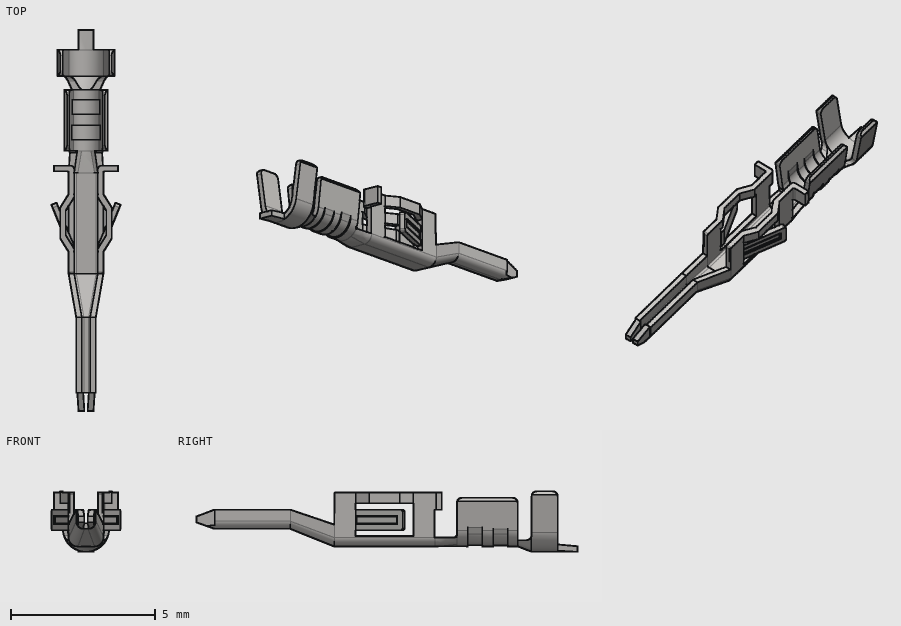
import cadquery as cq
import math

LENGTH = 13.2
STRIP = 0.2
INNER_BEND = 0.07
FLOOR = 0.18

BARREL_BACK = 12.51
BARREL_FRONT = 11.6
WIRE_BACK = 11.13
WIRE_FRONT = 9.02
BOX_BACK = 8.25
BOX_FRONT = 4.77
PIN_BACK = 3.25
PIN_FRONT = 0.63

TAIL_WIDTH = 0.53

INSULATION_RADIUS = 0.8
INSULATION_LEAN = 8.6
INSULATION_TOP = 2.1
WIRE_RADIUS = 0.65
WIRE_LEAN = 6.8
WIRE_TOP = 1.87
TIP_BEVEL = 0.12
TIP_ROUND = 0.18

SERRATIONS = ((9.4, 0.04), (10.28, 0.03))
SERRATION_WIDTH = 0.5
SERRATION_LEAN = 20.0

REAR_NECK_TOP = 0.41
REAR_NECK_FLARE = 0.17
FRONT_NECK_RISE = 0.07

BOX_HALF = 0.61
BOX_TOP = 2.06
BOX_BEND = 0.32
BOX_CORNER = 0.07
FLANGE_HALF = 1.11
FLANGE_BACK = 8.5
FLANGE_BOTTOM = 1.45
FLANGE_ROUND = 0.13
FLANGE_FILLET = 0.04
LEAD_IN_BOTTOM = 1.36
LEAD_IN_WIDTH = 0.05
LEAD_IN_LENGTH = 0.03

WINDOW_BACK = 7.51
WINDOW_FRONT = 5.52
WINDOW_BOTTOM = 0.55
WINDOW_TOP = 1.68
BULGE_OFFSET = 0.29
BULGE_RUN = 0.46
BULGE_SHIFT = 0.1

LANCE_ROOT = 5.68
LANCE_ANGLE = 22.0
LANCE_LENGTH = 1.58
LANCE_BOTTOM = 0.74
LANCE_TOP = 1.47
LANCE_ROUND = 0.1
GROOVE_WIDTH = 0.29
GROOVE_DEPTH = 0.05
GROOVE_FLARE = 0.04
GROOVE_END_GAP = 0.21

RAMP_TOP = 0.95
PIN_HALF = 0.34
PIN_BOTTOM = 0.79
PIN_TOP = 1.47
PIN_BEND = 0.28
TIP_BOTTOM = 1.02
TIP_TOP = 1.23
PRONG_GAPS = (0.09, 0.05)
PRONG_THICKNESS = 0.21


def section_plane(y):
    """Cross-section sketch at station y; extruding moves toward the pin tip."""
    return cq.Workplane("XZ", origin=(0, y, 0))


def block(x_range, y_range, z_range):
    size = [high - low for low, high in (x_range, y_range, z_range)]
    corner = [low for low, high in (x_range, y_range, z_range)]
    return cq.Workplane("XY").box(*size, centered=False).translate(tuple(corner))


def both_sides(half):
    return half.union(half.mirror("YZ"))


def channel(plane, half, bottom, top, bend):
    """Flat-floored U with rounded bends."""
    slant = math.sqrt(0.5)
    inner = half - STRIP
    flat = half - bend
    inner_flat = inner - INNER_BEND
    centre = bottom + bend
    inner_centre = bottom + STRIP + INNER_BEND
    out_mid = flat + bend * slant
    out_mid_z = centre - bend * slant
    in_mid = inner_flat + INNER_BEND * slant
    in_mid_z = inner_centre - INNER_BEND * slant
    return (
        plane.moveTo(-half, top)
        .lineTo(-half, centre)
        .threePointArc((-out_mid, out_mid_z), (-flat, bottom))
        .lineTo(flat, bottom)
        .threePointArc((out_mid, out_mid_z), (half, centre))
        .lineTo(half, top)
        .lineTo(inner, top)
        .lineTo(inner, inner_centre)
        .threePointArc((in_mid, in_mid_z), (inner_flat, bottom + STRIP))
        .lineTo(-inner_flat, bottom + STRIP)
        .threePointArc((-in_mid, in_mid_z), (-inner, inner_centre))
        .lineTo(-inner, top)
        .close()
    )


def split_band(plane, outer, inner, floor_is_flat):
    """Open band whose outer and inner curves are bend, floor and bend.

    Each curve lists the rim, the middle of the bend, the end of the bend and the floor on +X.
    """

    def curve(sketch, points, side):
        rim, bend, knee, floor = points
        sketch = sketch.threePointArc((side * bend[0], bend[1]), (side * knee[0], knee[1]))
        opposite_knee = (-side * knee[0], knee[1])
        if floor_is_flat:
            sketch = sketch.lineTo(*opposite_knee)
        else:
            sketch = sketch.threePointArc(floor, opposite_knee)
        return sketch.threePointArc((-side * bend[0], bend[1]), (-side * rim[0], rim[1]))

    sketch = plane.moveTo(-outer[0][0], outer[0][1])
    sketch = curve(sketch, outer, -1).lineTo(*inner[0])
    return curve(sketch, inner, 1).close()


def arc_points(radius, centre, start_angle, end_angle):
    """Start, middle and end of an arc in XZ; centre is (x, z) and angles are degrees below +X."""
    angles = (start_angle, (start_angle + end_angle) / 2, end_angle)
    return [
        (centre[0] + radius * math.cos(math.radians(a)), centre[1] - radius * math.sin(math.radians(a)))
        for a in angles
    ]


def split_trough(plane, radius, bottom, top):
    """Trough with each arc split in three, to pair with the bends and floor of a channel."""
    centre = bottom + radius
    curves = []
    for r in (radius, radius - STRIP):
        rim_angle = math.degrees(math.asin((centre - top) / r))
        knee_angle = (rim_angle + 90) / 2
        floor = (0, centre - r)
        curves.append(arc_points(r, (0, centre), rim_angle, knee_angle) + [floor])
    return split_band(plane, *curves, floor_is_flat=False)


def low_channel(plane, half, bottom, bend):
    """Floor and bends of a channel, without its upright walls."""
    curves = []
    for r in (bend, bend - STRIP):
        floor = (0, bottom + bend - r)
        curves.append(arc_points(r, (half - bend, bottom + bend), 0, 90) + [floor])
    return split_band(plane, *curves, floor_is_flat=True)


def trough(plane, radius, bottom, top):
    """Shallow round trough whose rims are cut level at height top."""
    centre = bottom + radius
    inner = radius - STRIP
    outer_rim = math.sqrt(radius**2 - (centre - top) ** 2)
    inner_rim = math.sqrt(inner**2 - (centre - top) ** 2)
    return (
        plane.moveTo(-outer_rim, top)
        .threePointArc((0, bottom), (outer_rim, top))
        .lineTo(inner_rim, top)
        .threePointArc((0, bottom + STRIP), (-inner_rim, top))
        .close()
    )


def crimp_barrel(back, front, radius, bottom, lean_angle, top):
    """Round-bottomed barrel with two straight wings leaning outward."""
    lean = math.radians(lean_angle)
    centre = bottom + radius
    inner_radius = radius - STRIP

    def tangent_point(r):
        return r * math.cos(lean), centre - r * math.sin(lean)

    def wing_x(r, z):
        x, start = tangent_point(r)
        return x + (z - start) * math.tan(lean)

    out_x, out_z = tangent_point(radius)
    in_x, in_z = tangent_point(inner_radius)
    shoulder_x = wing_x(radius, top - TIP_BEVEL)
    tip_out = wing_x(radius, top) - TIP_BEVEL
    tip_in = wing_x(inner_radius, top)
    barrel = (
        section_plane(back)
        .moveTo(-tip_out, top)
        .lineTo(-shoulder_x, top - TIP_BEVEL)
        .lineTo(-out_x, out_z)
        .threePointArc((0, bottom), (out_x, out_z))
        .lineTo(shoulder_x, top - TIP_BEVEL)
        .lineTo(tip_out, top)
        .lineTo(tip_in, top)
        .lineTo(in_x, in_z)
        .threePointArc((0, bottom + STRIP), (-in_x, in_z))
        .lineTo(-tip_in, top)
        .close()
        .extrude(back - front)
    )
    side_outline = block((-LENGTH, LENGTH), (front, back), (0, top)).edges("|X and >Z").fillet(TIP_ROUND)
    return barrel.intersect(side_outline)


def outer_groove_core(start, depth):
    """Metal left inside the outer groove; its flanks lean out until they leave the wing."""
    lean = math.radians(SERRATION_LEAN)
    radius = WIRE_RADIUS - depth
    centre = FLOOR + WIRE_RADIUS
    rim_x = radius * math.cos(lean)
    rim_z = centre - radius * math.sin(lean)
    top_x = rim_x + (WIRE_TOP - rim_z) * math.tan(lean)
    return (
        section_plane(start + SERRATION_WIDTH)
        .moveTo(-top_x, WIRE_TOP)
        .lineTo(-rim_x, rim_z)
        .threePointArc((0, centre - radius), (rim_x, rim_z))
        .lineTo(top_x, WIRE_TOP)
        .close()
        .extrude(SERRATION_WIDTH)
    )


def serration(start, depth):
    """Tool that cuts one band into the inside and the outside of the wire barrel."""
    back = start + SERRATION_WIDTH
    centre = FLOOR + WIRE_RADIUS
    inner = WIRE_RADIUS - STRIP + depth
    bore = section_plane(back).center(0, centre).circle(inner).extrude(SERRATION_WIDTH)
    throat = block((-inner, inner), (start, back), (centre, WIRE_TOP))
    around = block((-FLANGE_HALF, FLANGE_HALF), (start, back), (0, WIRE_TOP))
    return around.cut(outer_groove_core(start, depth)).union(bore).union(throat)


def wire_barrel():
    barrel = crimp_barrel(WIRE_BACK, WIRE_FRONT, WIRE_RADIUS, FLOOR, WIRE_LEAN, WIRE_TOP)
    for start, depth in SERRATIONS:
        barrel = barrel.cut(serration(start, depth))
    return barrel


def rear_neck():
    """Trough between the barrels; its rims curve up to meet the insulation barrel."""
    rise = REAR_NECK_TOP + REAR_NECK_FLARE
    flare_start = BARREL_FRONT - REAR_NECK_FLARE
    back = trough(section_plane(BARREL_FRONT), INSULATION_RADIUS, 0, rise)
    step = back.workplane(offset=BARREL_FRONT - WIRE_BACK)
    neck = trough(step, WIRE_RADIUS, FLOOR, rise).loft(ruled=True)
    above = block((-LENGTH, LENGTH), (WIRE_BACK, BARREL_FRONT), (REAR_NECK_TOP, rise))
    flare = (
        cq.Workplane("YZ")
        .moveTo(flare_start, REAR_NECK_TOP)
        .radiusArc((BARREL_FRONT, rise), -REAR_NECK_FLARE)
        .lineTo(BARREL_FRONT, REAR_NECK_TOP)
        .close()
        .extrude(LENGTH, both=True)
    )
    return neck.cut(above.cut(flare))


def front_neck():
    """Round wire barrel blending into the two bends and flat floor of the box."""
    back = split_trough(section_plane(WIRE_FRONT), WIRE_RADIUS, FLOOR, FLOOR + BOX_BEND)
    step = back.workplane(offset=WIRE_FRONT - BOX_BACK)
    neck = low_channel(step, BOX_HALF, FLOOR, BOX_BEND).loft(ruled=True)
    rim = FLOOR + BOX_BEND
    wedge_side = [
        (WIRE_FRONT, rim),
        (WIRE_FRONT, rim + FRONT_NECK_RISE),
        (WIRE_FRONT - FRONT_NECK_RISE, rim),
    ]
    wedge = cq.Workplane("YZ").polyline(wedge_side).close().extrude(LENGTH, both=True)
    rise = trough(section_plane(WIRE_FRONT), WIRE_RADIUS, FLOOR, rim + FRONT_NECK_RISE)
    return neck.union(rise.extrude(FRONT_NECK_RISE).intersect(wedge))


def bulged_bar():
    """Bar over the +X window, stepped outward over its middle."""
    inner = BOX_HALF - STRIP
    inner_back = WINDOW_BACK - BULGE_SHIFT
    inner_front = WINDOW_FRONT + BULGE_SHIFT
    outline = [
        (BOX_HALF, WINDOW_BACK),
        (BOX_HALF + BULGE_OFFSET, WINDOW_BACK - BULGE_RUN),
        (BOX_HALF + BULGE_OFFSET, WINDOW_FRONT + BULGE_RUN),
        (BOX_HALF, WINDOW_FRONT),
        (inner, WINDOW_FRONT),
        (inner, inner_front),
        (inner + BULGE_OFFSET, inner_front + BULGE_RUN),
        (inner + BULGE_OFFSET, inner_back - BULGE_RUN),
        (inner, inner_back),
        (inner, WINDOW_BACK),
    ]
    plane = cq.Workplane("XY", origin=(0, 0, WINDOW_TOP))
    return plane.polyline(outline).close().extrude(BOX_TOP - WINDOW_TOP)


def lance():
    """Spring lance on the +X side, made straight along Y and then swung outward."""
    tip = LANCE_ROOT + LANCE_LENGTH
    middle = (LANCE_BOTTOM + LANCE_TOP) / 2
    blade = block((BOX_HALF - STRIP, BOX_HALF), (LANCE_ROOT - STRIP, tip), (LANCE_BOTTOM, LANCE_TOP))
    blade = blade.edges("|X and >Y").fillet(LANCE_ROUND)
    groove = block(
        (BOX_HALF - GROOVE_DEPTH, BOX_HALF),
        (LANCE_ROOT - STRIP, tip - GROOVE_END_GAP),
        (middle - GROOVE_WIDTH / 2, middle + GROOVE_WIDTH / 2),
    )
    groove = groove.faces("<X").edges().chamfer(GROOVE_FLARE)
    pivot = (BOX_HALF, LANCE_ROOT, 0)
    swung = blade.cut(groove).rotate(pivot, (BOX_HALF, LANCE_ROOT, 1), -LANCE_ANGLE)
    outside_box_interior = block((BOX_HALF - STRIP, LENGTH), (0, LENGTH), (0, BOX_TOP))
    return swung.intersect(outside_box_interior)


def flange():
    """Stop flange on the +X side, bent outward from the back of the wall."""
    heights = (FLANGE_BOTTOM, BOX_TOP)
    inner = BOX_HALF - STRIP
    plate = block((inner, FLANGE_HALF), (FLANGE_BACK - STRIP, FLANGE_BACK), heights)
    bend = block((inner, BOX_HALF), (BOX_BACK, FLANGE_BACK - STRIP), heights)
    bent = plate.edges("|Z and <X and >Y").fillet(FLANGE_ROUND).union(bend)
    bend_line = (BOX_HALF, FLANGE_BACK - STRIP, (FLANGE_BOTTOM + BOX_TOP) / 2)
    return bent.edges(cq.selectors.NearestToPointSelector(bend_line)).fillet(FLANGE_FILLET)


def lead_in():
    """Tool bevelling the outer front edge of the +X wall."""
    corner = [
        (BOX_HALF, BOX_FRONT),
        (BOX_HALF, BOX_FRONT + LEAD_IN_LENGTH),
        (BOX_HALF - LEAD_IN_WIDTH, BOX_FRONT),
    ]
    plane = cq.Workplane("XY", origin=(0, 0, LEAD_IN_BOTTOM))
    return plane.polyline(corner).close().extrude(BOX_TOP - LEAD_IN_BOTTOM)


def box():
    plane = section_plane(BOX_BACK)
    body = channel(plane, BOX_HALF, FLOOR, BOX_TOP, BOX_BEND).extrude(BOX_BACK - BOX_FRONT)
    body = body.edges("|X and >Z and <Y").fillet(BOX_CORNER)
    windows = block((-LENGTH, LENGTH), (WINDOW_FRONT, WINDOW_BACK), (WINDOW_BOTTOM, BOX_TOP))
    side_parts = bulged_bar().union(lance()).union(flange())
    return body.cut(windows).cut(both_sides(lead_in())).union(both_sides(side_parts))


def ramp():
    low = channel(section_plane(BOX_FRONT), BOX_HALF, FLOOR, RAMP_TOP, BOX_BEND)
    step = low.workplane(offset=BOX_FRONT - PIN_BACK)
    return channel(step, PIN_HALF, PIN_BOTTOM, PIN_TOP, PIN_BEND).loft(ruled=True)


def prongs():
    """Two converging prongs, also tapered in height and rounded below like the pin."""
    root_inner, tip_inner = PRONG_GAPS
    plan = [
        (root_inner, PIN_FRONT),
        (root_inner + PRONG_THICKNESS, PIN_FRONT),
        (tip_inner + PRONG_THICKNESS, 0),
        (tip_inner, 0),
    ]
    side = [(PIN_FRONT, PIN_BOTTOM), (PIN_FRONT, PIN_TOP), (0, TIP_TOP), (0, TIP_BOTTOM)]
    prong = cq.Workplane("XY").polyline(plan).close().extrude(PIN_TOP)
    taper = cq.Workplane("YZ").polyline(side).close().extrude(PIN_HALF)
    envelope = block((-PIN_HALF, PIN_HALF), (0, PIN_FRONT), (PIN_BOTTOM, PIN_TOP))
    envelope = envelope.edges("|Y and <Z").fillet(PIN_BEND)
    return both_sides(prong.intersect(taper).intersect(envelope))


def pin():
    plane = section_plane(PIN_BACK)
    shank = channel(plane, PIN_HALF, PIN_BOTTOM, PIN_TOP, PIN_BEND).extrude(PIN_BACK - PIN_FRONT)
    return shank.union(prongs())


def tail():
    """Flat at its free end, turning into the curve of the insulation barrel."""
    half = TAIL_WIDTH / 2
    inner_radius = INSULATION_RADIUS - STRIP
    outer_edge = INSULATION_RADIUS - math.sqrt(INSULATION_RADIUS**2 - half**2)
    inner_edge = INSULATION_RADIUS - math.sqrt(inner_radius**2 - half**2)
    flat = (
        section_plane(LENGTH)
        .moveTo(-half, 0)
        .lineTo(half, 0)
        .lineTo(half, STRIP)
        .lineTo(-half, STRIP)
        .close()
    )
    return (
        flat.workplane(offset=LENGTH - BARREL_BACK)
        .moveTo(-half, outer_edge)
        .threePointArc((0, 0), (half, outer_edge))
        .lineTo(half, inner_edge)
        .threePointArc((0, STRIP), (-half, inner_edge))
        .close()
        .loft(ruled=True)
    )


insulation_barrel = crimp_barrel(
    BARREL_BACK, BARREL_FRONT, INSULATION_RADIUS, 0, INSULATION_LEAN, INSULATION_TOP
)

result = tail()
for piece in (insulation_barrel, rear_neck(), wire_barrel(), front_neck(), box(), ramp(), pin()):
    result = result.union(piece)